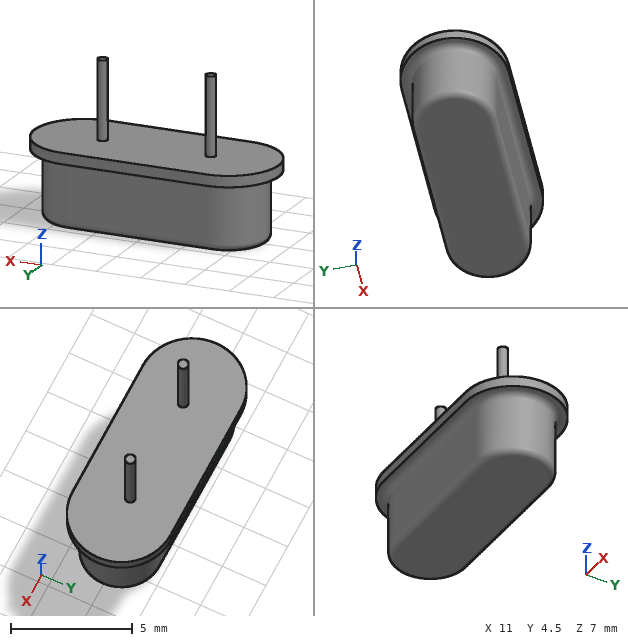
import cadquery as cq

length = 11.0
width = 4.5
body_height = 3.5

lid_thickness = 0.5
lid_overhang = 0.51

floor_round = 0.3
neck_round = 0.3

pin_length = 3.5
pin_diameter = 0.44
pin_pitch = 4.88

can_height = body_height - lid_thickness
can_length = length - 2 * lid_overhang
can_width = width - 2 * lid_overhang


def oval_prism(oval_length, oval_width, bottom, height):
    """Upright prism with fully rounded ends, standing on the given level."""
    return (
        cq.Workplane("XY")
        .workplane(offset=bottom)
        .slot2D(oval_length, oval_width)
        .extrude(height)
    )


def sealed_body():
    """Can standing on Z = 0, closed by a wider lid, with rounded floor and neck edges."""
    can = oval_prism(can_length, can_width, 0, can_height)
    lid = oval_prism(length, width, can_height, lid_thickness)
    body = can.union(lid)

    margin = lid_overhang / 2
    reach_x = can_length / 2 + margin
    reach_y = can_width / 2 + margin
    neck_box = cq.selectors.BoxSelector(
        (-reach_x, -reach_y, can_height - margin),
        (reach_x, reach_y, can_height + margin),
        boundingbox=True,
    )
    body = body.edges(neck_box).fillet(neck_round)
    return body.faces("<Z").edges().fillet(floor_round)


def contact_pins():
    """Two round pins standing on the lid."""
    return (
        cq.Workplane("XY")
        .workplane(offset=body_height)
        .pushPoints([(-pin_pitch / 2, 0), (pin_pitch / 2, 0)])
        .circle(pin_diameter / 2)
        .extrude(pin_length)
    )


result = sealed_body().union(contact_pins())